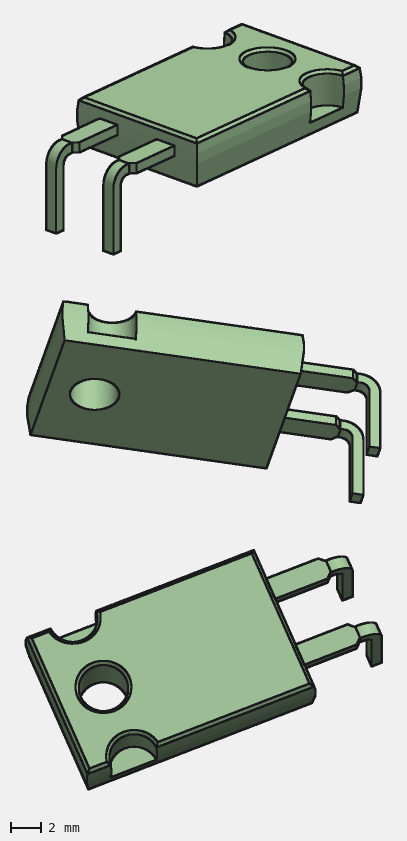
import cadquery as cq
import math

housing_width = 10.67
housing_length = 16.47
housing_height = 3.44
draft_angle = 6.0
edge_chamfer = 0.22

hole_radius = 1.64
hole_from_back = 3.4
notch_floor_z = 0.9

lead_thickness = 0.75
lead_bottom_z = 1.76
lead_spacing = 5.08
blade_width = 1.57
blade_straight_length = 3.78
neck_length = 0.065
pin_width = 0.9
pin_bend_outer_radius = 1.35
overall_length = 22.21
overall_height = 7.04

front_y = -housing_length / 2
hole_y = housing_length / 2 - hole_from_back
lead_top_z = lead_bottom_z + lead_thickness
shoulder_length = (blade_width - pin_width) / 2
shoulder_y = front_y - blade_straight_length
neck_y = shoulder_y - shoulder_length
pin_start_y = neck_y - neck_length
pin_outer_y = housing_length / 2 - overall_length
pin_inner_y = pin_outer_y + lead_thickness
pin_tip_z = housing_height - overall_height
bend_centre_y = pin_outer_y + pin_bend_outer_radius
bend_centre_z = lead_top_z - pin_bend_outer_radius
bend_inner_radius = pin_bend_outer_radius - lead_thickness


def drafted_block(base_z, height):
    """Block on the full housing outline, drafted inwards; a negative height grows downwards."""
    return (
        cq.Workplane("XY", origin=(0, 0, base_z))
        .rect(housing_width, housing_length)
        .extrude(height, taper=draft_angle)
    )


def hole_cutter(x, base_z):
    """Cutter of the hole radius up to the housing's top, flared there to chamfer the rim."""
    shaft = (
        cq.Workplane("XY", origin=(x, hole_y, base_z))
        .circle(hole_radius)
        .extrude(housing_height - base_z)
    )
    flare = cq.Solid.makeCone(
        hole_radius,
        hole_radius + edge_chamfer,
        edge_chamfer,
        pnt=cq.Vector(x, hole_y, housing_height - edge_chamfer),
    )
    return shaft.union(cq.Workplane(flare))


def make_housing():
    """Drafted housing with a chamfered top edge, a through hole and two blind side notches."""
    band = (
        cq.Workplane("XY", origin=(0, 0, lead_bottom_z))
        .rect(housing_width, housing_length)
        .extrude(lead_thickness)
    )
    lower = drafted_block(lead_bottom_z, -lead_bottom_z)
    upper = drafted_block(lead_top_z, housing_height - lead_top_z)
    body = band.union(lower).union(upper)
    body = body.faces(">Z").edges().chamfer(edge_chamfer)

    body = body.cut(hole_cutter(0, 0))
    for side in (-1, 1):
        body = body.cut(hole_cutter(side * housing_width / 2, notch_floor_z))
    return body


def make_lead_blade(x):
    """Flat blade from the housing's front face, narrowed by sloped shoulders to a short neck."""
    return (
        cq.Workplane("XY", origin=(x, 0, lead_bottom_z))
        .moveTo(-blade_width / 2, front_y)
        .lineTo(-blade_width / 2, shoulder_y)
        .lineTo(-pin_width / 2, neck_y)
        .lineTo(-pin_width / 2, pin_start_y)
        .lineTo(pin_width / 2, pin_start_y)
        .lineTo(pin_width / 2, neck_y)
        .lineTo(blade_width / 2, shoulder_y)
        .lineTo(blade_width / 2, front_y)
        .close()
        .extrude(lead_thickness)
    )


def make_lead_pin(x):
    """Narrow pin from the end of the neck, bent through a right angle down to its tip."""
    diagonal = math.sqrt(0.5)
    outer_mid = (
        bend_centre_y - pin_bend_outer_radius * diagonal,
        bend_centre_z + pin_bend_outer_radius * diagonal,
    )
    inner_mid = (
        bend_centre_y - bend_inner_radius * diagonal,
        bend_centre_z + bend_inner_radius * diagonal,
    )
    return (
        cq.Workplane("YZ", origin=(x, 0, 0))
        .moveTo(pin_start_y, lead_top_z)
        .lineTo(bend_centre_y, lead_top_z)
        .threePointArc(outer_mid, (pin_outer_y, bend_centre_z))
        .lineTo(pin_outer_y, pin_tip_z)
        .lineTo(pin_inner_y, pin_tip_z)
        .lineTo(pin_inner_y, bend_centre_z)
        .threePointArc(inner_mid, (bend_centre_y, lead_bottom_z))
        .lineTo(pin_start_y, lead_bottom_z)
        .close()
        .extrude(pin_width / 2, both=True)
    )


housing = make_housing()
lead_parts = []
for lead_x in (-lead_spacing / 2, lead_spacing / 2):
    lead_parts.append(make_lead_blade(lead_x).val())
    lead_parts.append(make_lead_pin(lead_x).val())

result = cq.Compound.makeCompound([housing.val(), *lead_parts])